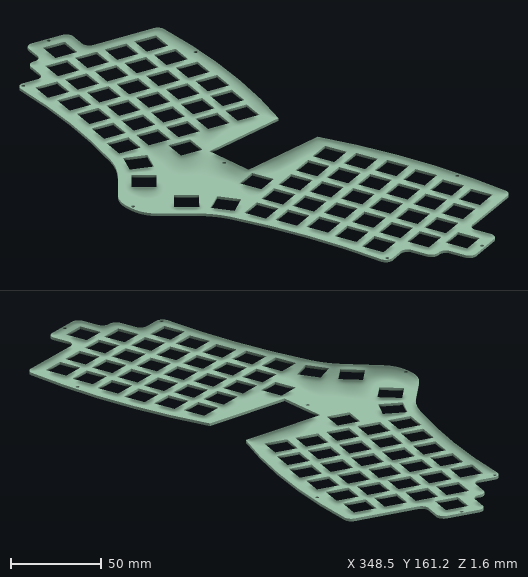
import cadquery as cq
import math

overall_width = 348.5
thickness = 1.6
key_tilt = -15.0
cutout = 14.0
hole_diameter = 2.2

grid_width = 95.0
first_column_u = -139.0
first_column_v = 28.5
small_stagger = 1.57
large_stagger = 4.5
inner_stagger = 3.1
columns = [
    (first_column_v, 4),
    (first_column_v + small_stagger, 5),
    (first_column_v + large_stagger, 5),
    (first_column_v + large_stagger + small_stagger, 5),
    (first_column_v + large_stagger, 5),
    (first_column_v + inner_stagger, 5),
]
pitch = grid_width / (len(columns) - 1)

ear_key_u = first_column_u - pitch
ear_key_v = first_column_v - 2.5 * pitch

thumb_keys = [
    (-28.0, -9.0, key_tilt),
    (-34.0, -39.7, 2 * key_tilt),
    (-16.7, -53.0, 3 * key_tilt),
]

paired_holes = [(-102.5, 74.0), (-169.8, 25.8), (-142.5, -21.5)]
center_holes = [(0, -6.5), (0, -78.5)]

side_margin = 14.5
row_margin = 14.3
corner_radius = 4.5
stepped_side_limit_x = -132.5

notch_half_width = 15.5
notch_floor_y = -2.8
top_arc_radius = 377.5
top_corner = (-137.7, 81.0)
notch_corner = (-notch_half_width, 51.5)
tail_corner = (-146.0, -24.5)
bottom_arc_radius = 401.0
bottom_arc_end = (-47.0, -48.8)
chin_line_start = (-31.0, -59.3)
chin_corner = (-9.8, -80.5)
chin_radius = 20.0


def key_frame(u, v):
    """Turn key-frame coordinates into plate coordinates."""
    angle = math.radians(key_tilt)
    return (
        u * math.cos(angle) - v * math.sin(angle),
        u * math.sin(angle) + v * math.cos(angle),
    )


def arc_middle(start, end, radius):
    """Middle of the shorter arc that bulges upward between two points."""
    dx = end[0] - start[0]
    dy = end[1] - start[1]
    chord = math.hypot(dx, dy)
    rise = radius - math.sqrt(radius**2 - chord**2 / 4)
    side = math.copysign(rise / chord, dx)
    return ((start[0] + end[0]) / 2 - dy * side, (start[1] + end[1]) / 2 + dx * side)


def left_half():
    """Left half of the plate, with the stepped outer corners rounded."""
    side_u = first_column_u - side_margin
    tail_u = side_u + pitch
    ear_top_v = ear_key_v + row_margin
    ear_bottom_v = ear_key_v - row_margin
    lowest_key_v = first_column_v - (columns[0][1] - 1) * pitch
    step_v = lowest_key_v - row_margin

    x_per_u = key_frame(1, 0)[0]
    x_per_v = key_frame(0, 1)[0]
    round_center_x = corner_radius - overall_width / 2
    round_center_v = ear_bottom_v + corner_radius
    ear_u = (round_center_x - round_center_v * x_per_v) / x_per_u - corner_radius

    steps = [
        (side_u, ear_top_v),
        (ear_u, ear_top_v),
        (ear_u, ear_bottom_v),
        (side_u, ear_bottom_v),
        (side_u, step_v),
        (tail_u, step_v),
    ]
    outline = cq.Workplane("XY").moveTo(0, notch_floor_y).lineTo(-notch_half_width, notch_floor_y)
    outline = outline.lineTo(*notch_corner)
    outline = outline.threePointArc(arc_middle(notch_corner, top_corner, top_arc_radius), top_corner)
    for u, v in steps:
        outline = outline.lineTo(*key_frame(u, v))
    outline = outline.lineTo(*tail_corner)
    outline = outline.threePointArc(
        arc_middle(tail_corner, bottom_arc_end, bottom_arc_radius), bottom_arc_end
    )
    outline = outline.tangentArcPoint(chin_line_start, relative=False)
    outline = outline.lineTo(*chin_corner).lineTo(0, chin_corner[1])
    half = outline.close().extrude(thickness)

    stepped_side = cq.selectors.BoxSelector(
        (-overall_width, -overall_width, 0),
        (stepped_side_limit_x, overall_width, thickness),
    )
    half = half.edges("|Z").edges(stepped_side).fillet(corner_radius)
    chin = cq.selectors.NearestToPointSelector((*chin_corner, thickness / 2))
    return half.edges("|Z").edges(chin).fillet(chin_radius)


def key_places():
    """Center and rotation of every key cutout on the left half."""
    places = [(*key_frame(ear_key_u, ear_key_v), key_tilt)]
    for column, (top_v, count) in enumerate(columns):
        for row in range(count):
            x, y = key_frame(first_column_u + column * pitch, top_v - row * pitch)
            places.append((x, y, key_tilt))
    return places + thumb_keys


def key_cutter(x, y, rotation):
    """Square prism that cuts one switch opening."""
    square = cq.Workplane("XY").rect(cutout, cutout).extrude(thickness)
    return square.rotate((0, 0, 0), (0, 0, 1), rotation).translate((x, y, 0))


def screw_holes(centers):
    """Cylinders that cut through-holes at the given centers."""
    return cq.Workplane("XY").pushPoints(centers).circle(hole_diameter / 2).extrude(thickness)


half_plate = left_half()
for x, y, rotation in key_places():
    half_plate = half_plate.cut(key_cutter(x, y, rotation))
half_plate = half_plate.cut(screw_holes(paired_holes))

plate = half_plate.union(half_plate.mirror("YZ")).clean()
result = plate.cut(screw_holes(center_holes))